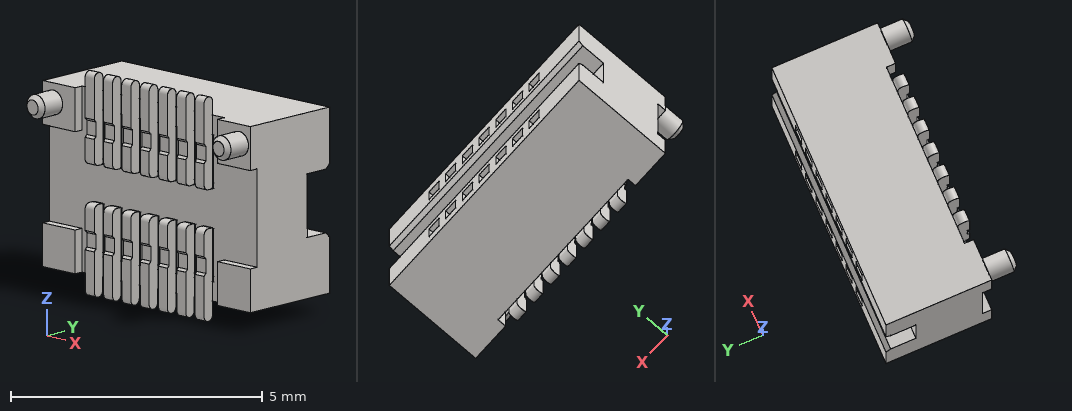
import cadquery as cq


body_length = 5.7
body_depth = 2.295
body_height = 3.815
foot_size = 0.9
foot_height = 0.2

channel_width = 1.3
channel_depth = 0.65
channel_chamfer = 0.1

lead_count = 7
lead_pitch = 0.5
lead_width = 0.25
lead_thickness = 0.25
lead_span = 4.6
lead_outer_z = lead_span / 2
lead_inner_z = 0.4
lead_inner_round = 0.12
notch_outer_z = 1.35
notch_inner_z = 0.95
notch_depth = 0.05

slot_width = 0.3
slot_outer_z = 1.505
lead_lap = 0.01
slot_inner_z = lead_inner_z + lead_lap
cavity_inner_z = 1.0

post_diameter = 0.5
post_length = 0.605
post_chamfer = 0.095
post_side_inset = 0.3
post_top_inset = 0.4

lead_back_y = foot_height
lead_front_y = lead_back_y - lead_thickness
lead_positions = [(i - (lead_count - 1) / 2) * lead_pitch for i in range(lead_count)]


def block(x_range, y_range, z_range):
    """Box spanning the given (start, end) ranges."""
    size = [end - start for start, end in (x_range, y_range, z_range)]
    corner = (x_range[0], y_range[0], z_range[0])
    return cq.Workplane("XY").box(*size, centered=False).translate(corner)


def make_housing():
    """Block with corner feet on the mounting side and a chamfered mating channel."""
    half_length = body_length / 2
    half_height = body_height / 2
    full_x = (-half_length, half_length)
    full_z = (-half_height, half_height)
    between_feet_x = (-half_length + foot_size, half_length - foot_size)
    between_feet_z = (-half_height + foot_size, half_height - foot_size)
    relief = (0, foot_height)
    channel_floor_y = body_depth - channel_depth
    half_channel = channel_width / 2

    housing = block(full_x, (0, body_depth), full_z)
    housing = housing.cut(block(between_feet_x, relief, full_z))
    housing = housing.cut(block(full_x, relief, between_feet_z))
    channel = (
        cq.Workplane("YZ")
        .moveTo(channel_floor_y, -half_channel)
        .lineTo(body_depth - channel_chamfer, -half_channel)
        .lineTo(body_depth, -half_channel - channel_chamfer)
        .lineTo(body_depth, half_channel + channel_chamfer)
        .lineTo(body_depth - channel_chamfer, half_channel)
        .lineTo(channel_floor_y, half_channel)
        .close()
        .extrude(half_length, both=True)
    )
    return housing.cut(channel)


def make_slot(x):
    """Upper-row slot down to the channel floor, its outer part passing right through."""
    slot_x = (x - slot_width / 2, x + slot_width / 2)
    slot = block(slot_x, (foot_height, body_depth - channel_depth), (slot_inner_z, slot_outer_z))
    return slot.union(block(slot_x, (foot_height, body_depth), (cavity_inner_z, slot_outer_z)))


def make_lead(x):
    """Upper-row lead: flat bar with a full-round outer end, rounded inner edge and shallow notch."""
    notch_floor_y = lead_front_y + notch_depth
    outer_round = lead_thickness / 2
    outer_round_z = lead_outer_z - outer_round
    return (
        cq.Workplane("YZ", origin=(x, 0, 0))
        .moveTo(lead_back_y, lead_inner_z)
        .lineTo(lead_back_y, outer_round_z)
        .threePointArc((lead_back_y - outer_round, lead_outer_z), (lead_front_y, outer_round_z))
        .lineTo(lead_front_y, notch_outer_z)
        .lineTo(notch_floor_y, notch_outer_z - notch_depth)
        .lineTo(notch_floor_y, notch_inner_z + notch_depth)
        .lineTo(lead_front_y, notch_inner_z)
        .lineTo(lead_front_y, lead_inner_z + lead_inner_round)
        .radiusArc((lead_front_y + lead_inner_round, lead_inner_z), -lead_inner_round)
        .close()
        .extrude(lead_width / 2, both=True)
    )


def make_post(side):
    """Chamfered round post on an upper foot; side is -1 or 1."""
    x = side * (body_length / 2 - post_side_inset)
    z = body_height / 2 - post_top_inset
    post = cq.Workplane("XZ", origin=(x, 0, z)).circle(post_diameter / 2).extrude(post_length)
    return post.faces("<Y").chamfer(post_chamfer)


result = make_housing()
for lead_x in lead_positions:
    upper_slot = make_slot(lead_x)
    result = result.cut(upper_slot).cut(upper_slot.mirror("XY"))
for lead_x in lead_positions:
    upper_lead = make_lead(lead_x)
    result = result.union(upper_lead).union(upper_lead.mirror("XY"))
for post_side in (-1, 1):
    result = result.union(make_post(post_side))